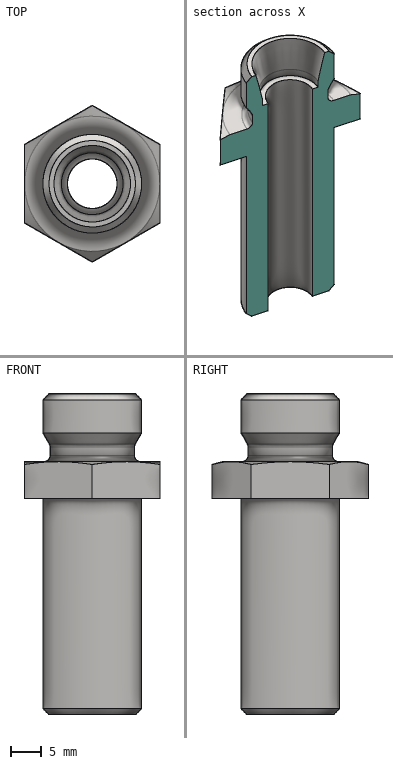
import cadquery as cq
import math

total_length = 52.0
thread_end_length = 11.0
hex_height = 6.0
hex_top = total_length - thread_end_length
hex_bottom = hex_top - hex_height

hex_across_flats = 22.0
hex_sides = 6
hex_half_step = 180.0 / hex_sides
hex_across_corners = hex_across_flats / math.cos(math.radians(hex_half_step))
hex_chamfer_angle = 15.0
hex_face_diameter = 21.9

body_radius = 16.0 / 2
end_chamfer = 1.0
groove_radius = 13.7 / 2
groove_flank_angle = 30.0
groove_flank_fillet = 1.0
groove_root_fillet = 1.0
thread_length = 6.35

through_diameter = 8.0
seat_diameter = 10.0
seat_depth = 7.0
cone_mouth_diameter = 12.4
cone_half_angle = 12.0


def make_round_body():
    """Tube, relief groove and threaded end as one revolved profile."""
    thread_bottom = total_length - thread_length
    flank_height = (body_radius - groove_radius) / math.tan(math.radians(groove_flank_angle))
    flank_foot = thread_bottom - flank_height

    flank = math.radians(groove_flank_angle)
    tangent_length = groove_flank_fillet * math.tan(flank / 2)
    arc_centre_r = groove_radius + groove_flank_fillet
    arc_centre_z = flank_foot - tangent_length
    arc_middle = (
        arc_centre_r - groove_flank_fillet * math.cos(flank / 2),
        arc_centre_z + groove_flank_fillet * math.sin(flank / 2),
    )
    arc_end = (
        arc_centre_r - groove_flank_fillet * math.cos(flank),
        arc_centre_z + groove_flank_fillet * math.sin(flank),
    )

    root_radius = groove_root_fillet
    middle_offset = root_radius * (1 - math.sqrt(0.5))
    root_middle = (
        groove_radius + middle_offset,
        hex_top + middle_offset,
    )

    profile = (
        cq.Workplane("XZ")
        .moveTo(0, 0)
        .lineTo(body_radius - end_chamfer, 0)
        .lineTo(body_radius, end_chamfer)
        .lineTo(body_radius, hex_top)
        .lineTo(groove_radius + root_radius, hex_top)
        .threePointArc(root_middle, (groove_radius, hex_top + root_radius))
        .lineTo(groove_radius, arc_centre_z)
        .threePointArc(arc_middle, arc_end)
        .lineTo(body_radius, thread_bottom)
        .lineTo(body_radius, total_length - end_chamfer)
        .lineTo(body_radius - end_chamfer, total_length)
        .lineTo(0, total_length)
        .close()
    )
    return profile.revolve(360, (0, 0, 0), (0, 1, 0))


def make_hexagon():
    """Hexagon whose top corners are turned off by a shallow cone."""
    prism = (
        cq.Workplane("XY", origin=(0, 0, hex_bottom))
        .polygon(hex_sides, hex_across_corners)
        .extrude(hex_height)
        .rotate((0, 0, 0), (0, 0, 1), hex_half_step)
    )
    face_radius = hex_face_diameter / 2
    rim_radius = hex_across_corners
    rim_drop = (rim_radius - face_radius) * math.tan(math.radians(hex_chamfer_angle))
    turned_blank = (
        cq.Workplane("XZ")
        .moveTo(0, hex_bottom)
        .lineTo(rim_radius, hex_bottom)
        .lineTo(rim_radius, hex_top - rim_drop)
        .lineTo(face_radius, hex_top)
        .lineTo(0, hex_top)
        .close()
        .revolve(360, (0, 0, 0), (0, 1, 0))
    )
    return prism.intersect(turned_blank)


def make_bore():
    """Through bore, tube seat and the sealing cone at its mouth."""
    through_radius = through_diameter / 2
    seat_radius = seat_diameter / 2
    mouth_radius = cone_mouth_diameter / 2
    cone_depth = (mouth_radius - seat_radius) / math.tan(math.radians(cone_half_angle))
    seat_floor = total_length - seat_depth
    return (
        cq.Workplane("XZ")
        .moveTo(0, 0)
        .lineTo(through_radius, 0)
        .lineTo(through_radius, seat_floor)
        .lineTo(seat_radius, seat_floor)
        .lineTo(seat_radius, total_length - cone_depth)
        .lineTo(mouth_radius, total_length)
        .lineTo(0, total_length)
        .close()
        .revolve(360, (0, 0, 0), (0, 1, 0))
    )


result = make_round_body().union(make_hexagon()).cut(make_bore())